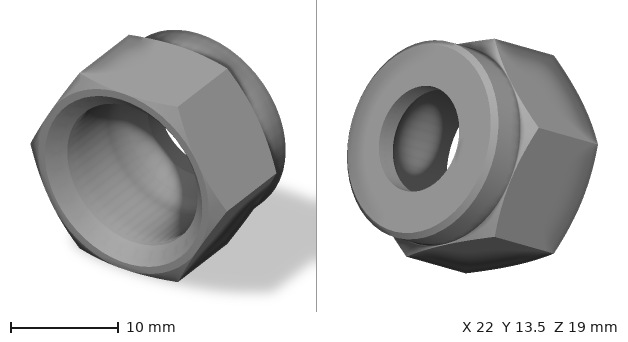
import cadquery as cq
import math

across_corners = 21.95
across_flats = across_corners * math.cos(math.radians(30))
total_length = 13.5
hex_length = 9.95
hex_chamfer_angle = 30.0

collar_radius = 9.41
collar_chamfer = 0.5

mouth_radius = 8.78
bore_radius = 7.28
mouth_depth = 1.5
bore_end = 8.27
shoulder_end_radius = 6.58
seat_angle = 45.0
hole_radius = 5.0


def revolve_about_y(profile):
    """Revolve a closed (radius, Y) profile around the Y axis."""
    return profile.close().revolve(360, (0, 0, 0), (0, 1, 0))


def hexagon():
    """Hex prism with both ends trimmed by a 30 degree cone."""
    corner_radius = across_corners / 2
    flat_radius = across_flats / 2
    drop = (corner_radius - flat_radius) * math.tan(math.radians(hex_chamfer_angle))
    prism = cq.Workplane("XZ").polygon(6, across_corners).extrude(-hex_length)
    envelope = revolve_about_y(
        cq.Workplane("XY")
        .moveTo(0, 0)
        .lineTo(flat_radius, 0)
        .lineTo(corner_radius, drop)
        .lineTo(corner_radius, hex_length - drop)
        .lineTo(flat_radius, hex_length)
        .lineTo(0, hex_length)
    )
    return prism.intersect(envelope)


def collar():
    """Round collar behind the hexagon, chamfered at its outer end."""
    return (
        cq.Workplane("XZ", origin=(0, hex_length, 0))
        .circle(collar_radius)
        .extrude(hex_length - total_length)
        .faces(">Y")
        .edges()
        .chamfer(collar_chamfer)
    )


def bore():
    """Flared mouth, straight bore, rounded shoulder, conical seat and through hole."""
    seat = math.radians(seat_angle)
    arc_radius = (bore_radius - shoulder_end_radius) / (1 - math.cos(seat))
    arc_length = arc_radius * math.sin(seat)
    arc_middle = (
        bore_radius - arc_radius * (1 - math.cos(seat / 2)),
        bore_end + arc_radius * math.sin(seat / 2),
    )
    arc_end = bore_end + arc_length
    seat_end = arc_end + (shoulder_end_radius - hole_radius) / math.tan(seat)
    return revolve_about_y(
        cq.Workplane("XY")
        .moveTo(0, 0)
        .lineTo(mouth_radius, 0)
        .lineTo(bore_radius, mouth_depth)
        .lineTo(bore_radius, bore_end)
        .threePointArc(arc_middle, (shoulder_end_radius, arc_end))
        .lineTo(hole_radius, seat_end)
        .lineTo(hole_radius, total_length)
        .lineTo(0, total_length)
    )


result = hexagon().union(collar()).cut(bore())